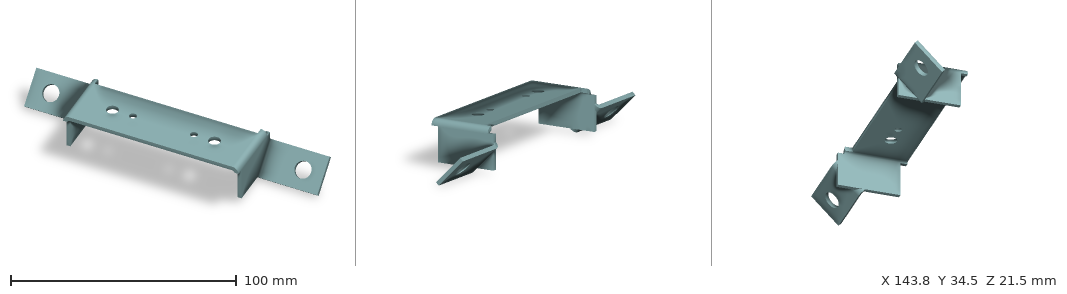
import cadquery as cq
import math

length = 143.8
depth = 34.5
height = 21.5

thickness = 2.0
bend_radius = 3.0
inner_radius = bend_radius - thickness

plate_half_width = 43.0
plate_depth = 26.0
plate_bend_length = 29.3

large_hole_x = 25.0
large_hole_diameter = 5.6
small_hole_x = 15.0
small_hole_diameter = 3.5

tab_width = 18.0
tab_hole_x = 61.8
tab_hole_diameter = 8.0

diagonal = math.sqrt(0.5)
plate_bend_x = plate_half_width - bend_radius
plate_bend_z = height - bend_radius
web_inner_x = plate_half_width - thickness
tab_bend_x = web_inner_x + bend_radius
tab_rise = tab_width * diagonal
tab_bend_offset = bend_radius * diagonal

web_bottom_z = tab_bend_offset
web_back_y = depth - tab_bend_offset
web_front_y = web_back_y - tab_rise - (plate_bend_z - web_bottom_z)


def block(x_range, y_range, z_range):
    """Box between the given limits on each axis."""
    size = [end - start for start, end in (x_range, y_range, z_range)]
    corner = (x_range[0], y_range[0], z_range[0])
    return cq.Workplane("XY").box(*size, centered=False).translate(corner)


def quarter_bend(plane, bend_length):
    """Quarter ring about the plane origin, in its first quadrant, extruded along its normal."""
    outer_middle = bend_radius * diagonal
    inner_middle = inner_radius * diagonal
    return (
        cq.Workplane(plane)
        .moveTo(bend_radius, 0)
        .threePointArc((outer_middle, outer_middle), (0, bend_radius))
        .lineTo(0, inner_radius)
        .threePointArc((inner_middle, inner_middle), (inner_radius, 0))
        .close()
        .extrude(bend_length)
    )


def top_plate():
    """Flat plate with a large and a small hole on each side."""
    plate = block((-plate_bend_x, plate_bend_x), (0, plate_depth), (height - thickness, height))
    for hole_x, diameter in ((large_hole_x, large_hole_diameter), (small_hole_x, small_hole_diameter)):
        centers = [(-hole_x, plate_depth / 2), (hole_x, plate_depth / 2)]
        holes = cq.Workplane("XY").pushPoints(centers).circle(diameter / 2).extrude(height)
        plate = plate.cut(holes)
    return plate


def web_with_bend():
    """Upright rectangular web on the +X side and the bend joining it to the top plate."""
    web = block(
        (web_inner_x, plate_half_width),
        (web_front_y, web_back_y),
        (web_bottom_z, plate_bend_z),
    )
    bend_plane = cq.Plane(
        origin=(plate_bend_x, plate_bend_length, plate_bend_z),
        xDir=(1, 0, 0),
        normal=(0, -1, 0),
    )
    return web.union(quarter_bend(bend_plane, plate_bend_length))


def tab_with_bend():
    """Tilted mounting tab on the +X side, its hole, and the bend joining it to the web."""
    bend_plane = cq.Plane(
        origin=(tab_bend_x, depth - tab_bend_offset, tab_rise + tab_bend_offset),
        xDir=(-1, 0, 0),
        normal=(0, -1, -1),
    )
    tab_length = length / 2 - tab_bend_x
    tab = (
        cq.Workplane(bend_plane)
        .moveTo(0, inner_radius)
        .lineTo(-tab_length, inner_radius)
        .lineTo(-tab_length, bend_radius)
        .lineTo(0, bend_radius)
        .close()
        .extrude(tab_width)
    )
    hole_start = bend_plane.toWorldCoords((tab_bend_x - tab_hole_x, 0, tab_width / 2))
    hole_plane = cq.Plane(origin=hole_start, xDir=(1, 0, 0), normal=bend_plane.yDir)
    hole = cq.Workplane(hole_plane).circle(tab_hole_diameter / 2).extrude(bend_radius + thickness)
    return tab.union(quarter_bend(bend_plane, tab_width)).cut(hole)


side = web_with_bend().union(tab_with_bend())
result = top_plate().union(side).union(side.mirror("YZ"))